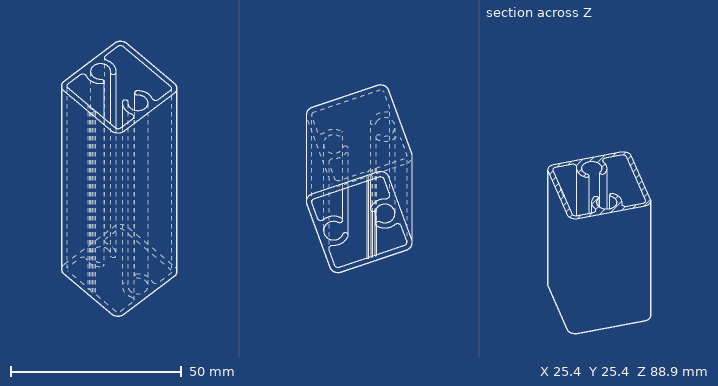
import cadquery as cq
import math

WIDTH = 25.4
LENGTH = 88.9
OUTER_CORNER_RADIUS = 2.54
SIDE_WALL = 1.52
END_WALL = 1.6
INNER_CORNER_RADIUS = 1.1

BORE_RADIUS = 2.9
BOSS_RADIUS = 4.5
BOSS_OFFSET = 7.95
LIP_ANGLE = 29.0
ROOT_FILLET = 1.1
LIP_FILLET = 0.75

GROOVE_RADIUS = 0.25
GROOVE_PITCH = 1.27
GROOVE_COUNT = 3

INNER_X = WIDTH / 2 - SIDE_WALL
INNER_Y = WIDTH / 2 - END_WALL


def rounded_bar(width, depth, corner_radius):
    """Full-length rectangular bar with rounded long edges."""
    return cq.Workplane("XY").rect(width, depth).extrude(LENGTH).edges("|Z").fillet(corner_radius)


def round_bar(x, y, radius):
    """Full-length cylinder parallel to the tube axis."""
    return cq.Workplane("XY").center(x, y).circle(radius).extrude(LENGTH)


def fillet_long_edge(body, x, y, radius):
    """Fillet the full-length edge that runs through (x, y)."""
    edge = cq.selectors.NearestToPointSelector((x, y, LENGTH / 2))
    return body.edges("|Z").edges(edge).fillet(radius)


def hollow_tube():
    outside = rounded_bar(WIDTH, WIDTH, OUTER_CORNER_RADIUS)
    inside = rounded_bar(2 * INNER_X, 2 * INNER_Y, INNER_CORNER_RADIUS)
    return outside.cut(inside)


def boss_opening(side):
    """Wedge that opens a boss towards the tube axis, between its two lips."""
    reach = 2 * BOSS_RADIUS
    half_angle = math.radians(LIP_ANGLE)
    axis_x = side * BOSS_OFFSET
    far_x = axis_x - side * reach * math.cos(half_angle)
    far_y = reach * math.sin(half_angle)
    corners = [(axis_x, 0), (far_x, far_y), (far_x, -far_y)]
    return cq.Workplane("XY").polyline(corners).close().extrude(LENGTH)


def add_screw_boss(body, side):
    """Add the C-shaped boss on the +X (side = 1) or -X (side = -1) wall."""
    axis_x = side * BOSS_OFFSET
    boss = round_bar(axis_x, 0, BOSS_RADIUS).cut(boss_opening(side))
    body = body.union(boss)

    root_x = side * INNER_X
    root_y = math.sqrt(BOSS_RADIUS**2 - (INNER_X - BOSS_OFFSET) ** 2)
    for y in (root_y, -root_y):
        body = fillet_long_edge(body, root_x, y, ROOT_FILLET)

    body = body.cut(round_bar(axis_x, 0, BORE_RADIUS))

    lip_slope = math.radians(LIP_ANGLE)
    for radius in (BORE_RADIUS, BOSS_RADIUS):
        lip_x = axis_x - side * radius * math.cos(lip_slope)
        lip_y = radius * math.sin(lip_slope)
        for y in (lip_y, -lip_y):
            body = fillet_long_edge(body, lip_x, y, LIP_FILLET)
    return body


def cut_index_grooves(body):
    first_x = -GROOVE_PITCH * (GROOVE_COUNT - 1) / 2
    for index in range(GROOVE_COUNT):
        groove_x = first_x + index * GROOVE_PITCH
        body = body.cut(round_bar(groove_x, -INNER_Y, GROOVE_RADIUS))
    return body


tube = hollow_tube()
for wall_side in (-1, 1):
    tube = add_screw_boss(tube, wall_side)
result = cut_index_grooves(tube)